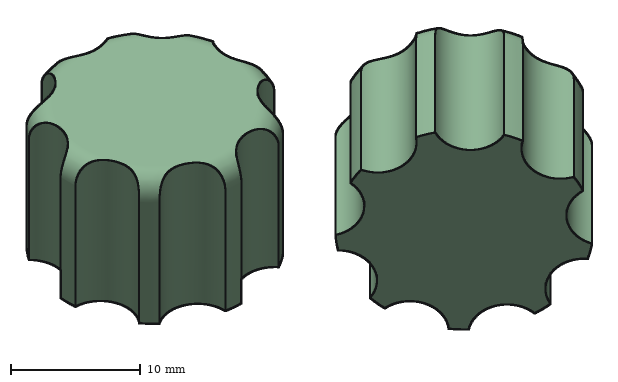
import cadquery as cq
import math

width_y = 19.91
height = 14.0
top_face_radius = 8.0
groove_count = 9
groove_radius = 3.0

groove_centre_radius = top_face_radius + groove_radius

nearest_groove_angle = math.radians(2 * 360 / groove_count)
groove_x = groove_centre_radius * math.cos(nearest_groove_angle)
groove_y = groove_centre_radius * math.sin(nearest_groove_angle)
corner_y = width_y / 2
corner_x = groove_x - math.sqrt(groove_radius**2 - (groove_y - corner_y) ** 2)
outer_radius = math.hypot(corner_x, corner_y)

top_fillet = outer_radius - top_face_radius


def rounded_body():
    """Cylinder standing on Z = 0 with a rounded upper rim."""
    return cq.Workplane("XY").circle(outer_radius).extrude(height).faces(">Z").edges().fillet(top_fillet)


def grip_grooves():
    """Full-height round cutters spaced evenly around the rim, the first on +X."""
    return (
        cq.Workplane("XY")
        .polarArray(groove_centre_radius, 0, 360, groove_count)
        .circle(groove_radius)
        .extrude(height)
    )


result = rounded_body().cut(grip_grooves())